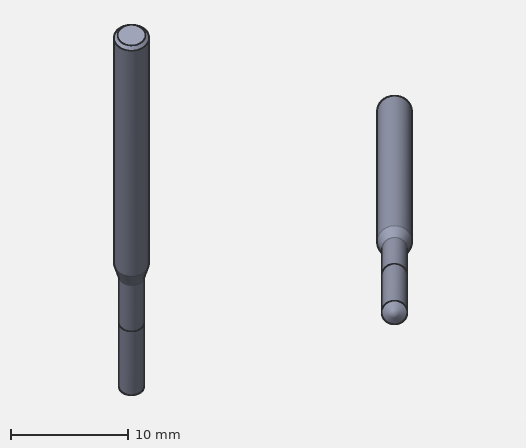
import cadquery as cq

total_length = 45.0
shank_radius = 3.0 / 2
end_chamfer = 0.3

neck_radius = 2.2 / 2

point_height = 0.55
cutter_top = 8.65
neck_top = 14.5
taper_top = 16.1


def revolve_about_z(profile):
    """Turn a closed (radius, height) outline around the Z axis."""
    return cq.Workplane("XZ").polyline(profile).close().revolve(360, (0, 0), (0, 1))


def make_cutter():
    """Cylindrical cutting section with a conical point."""
    return revolve_about_z([
        (0, 0),
        (neck_radius, point_height),
        (neck_radius, cutter_top),
        (0, cutter_top),
    ])


def make_shank():
    """Neck, taper and chamfered shank, seated on top of the cutter."""
    return revolve_about_z([
        (0, cutter_top),
        (neck_radius, cutter_top),
        (neck_radius, neck_top),
        (shank_radius, taper_top),
        (shank_radius, total_length - end_chamfer),
        (shank_radius - end_chamfer, total_length),
        (0, total_length),
    ])


cutter = make_cutter()
shank = make_shank()

result = cq.Compound.makeCompound([cutter.val(), shank.val()])